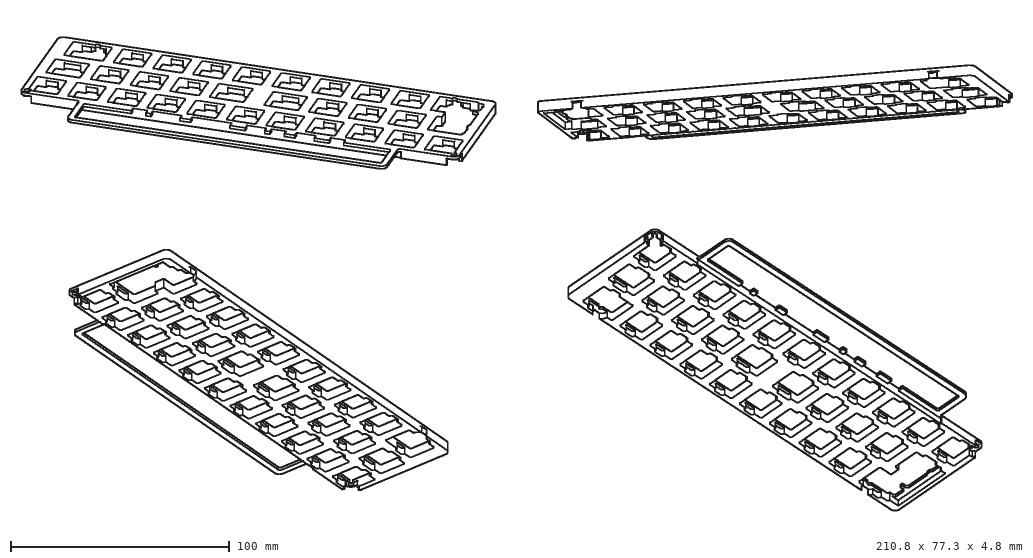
import cadquery as cq

total_height = 4.8
plate_thickness = 1.5
body_height = total_height - plate_thickness

pitch = 19.05
key_web = 5.0
key_hole = pitch - key_web
key_hole_radius = 0.74
upper_y = 1.5 * pitch
home_y = 0.5 * pitch
lower_y = -0.5 * pitch
space_y = -1.5 * pitch

wide_upper_key = (4.5, 4.75)
upper_keys = [(i - 3.5, i - 3.5) for i in range(8)]
right_home_keys = [(0.625, 0.75), (1.75, 1.75), (2.75, 2.75), (3.75, 3.75), (4.75, 4.875)]
left_home_keys = [(-last, -first) for first, last in right_home_keys[:-1]] + [(-4.875, -4.75)]
lower_keys = [(i - 5, i - 5) for i in range(11)]
space_keys = (-3.5, 3.5)

side_margin = 0.5
end_margin = 0.57
plate_half_width = 5.5 * pitch + side_margin
plate_half_depth = 2 * pitch + end_margin
body_front_y = -pitch - end_margin
frame_half_width = 4 * pitch + side_margin
outline_radius = 2.7
junction_radius = 1.3

notch_rear_y = -pitch
stabilizer_notches = [
    (-51.0, -44.0),
    (-41.5, -27.5),
    (-22.5, -3.5),
    (3.8, 13.0),
    (15.5, 22.5),
    (27.5, 36.9),
    (44.0, 51.0),
]

enter_x = 4.875 * pitch
enter_y = pitch
enter_left = enter_x - key_hole / 2
enter_right = 100.5
enter_pocket_right = 103.0
enter_corner_radius = 1.5
stabilizer_reach = 11.9
stabilizer_slot = 7.0

clip_width = 5.5
clip_depth = 1.5
clip_corner_radius = 1.0

screw_radius = 1.3
clearance_radius = 4.0
corner_screw = (102.6, -16.9)
rear_screw = (85.8, 35.2)
screws = [(side * x, y) for side in (-1, 1) for x, y in (corner_screw, rear_screw)]

post_radius = 0.74
overall_half_width = 105.4
side_post = (overall_half_width - post_radius, -13.3)
front_post = (99.2, body_front_y + post_radius)
posts = [(side * x, y) for side in (-1, 1) for x, y in (side_post, front_post)]


def block(x0, x1, y0, y1, z0, z1, corner_radius=0):
    """Box between two opposite corners, with its upright edges rounded if a radius is given."""
    box = cq.Workplane("XY").box(x1 - x0, y1 - y0, z1 - z0, centered=False).translate((x0, y0, z0))
    if corner_radius:
        box = box.edges("|Z").fillet(corner_radius)
    return box


def cylinders(centres, radius, height):
    """Upright cylinders standing on Z = 0."""
    return cq.Workplane("XY").pushPoints(centres).circle(radius).extrude(height)


def key_opening(keys, y):
    """Through opening that serves every key centre from the first to the last."""
    first, last = keys
    x0 = first * pitch - key_hole / 2
    x1 = last * pitch + key_hole / 2
    return block(x0, x1, y - key_hole / 2, y + key_hole / 2, 0, total_height, key_hole_radius)


def clip_recess(keys, y):
    """Recess for the switch clips in the front and rear walls, below the plate."""
    first, last = keys
    x0 = first * pitch - clip_width / 2
    x1 = last * pitch + clip_width / 2
    reach = key_hole / 2 + clip_depth
    return block(x0, x1, y - reach, y + reach, 0, body_height, clip_corner_radius)


def plate():
    """Thin plate with the frame around the space row, rounded at its corners and junctions."""
    main = block(
        -plate_half_width, plate_half_width, body_front_y, plate_half_depth,
        body_height, total_height, outline_radius,
    )
    frame = block(-frame_half_width, frame_half_width, -plate_half_depth, 0, body_height, total_height)
    frame = frame.edges("|Z and <Y").fillet(outline_radius)
    junctions = cq.selectors.BoxSelector(
        (-frame_half_width - side_margin, body_front_y - side_margin, body_height),
        (frame_half_width + side_margin, body_front_y + side_margin, total_height),
    )
    return main.union(frame).edges("|Z").edges(junctions).fillet(junction_radius)


def body():
    """Deep body below the key rows, set back behind the frame and cut clear of the screws."""
    main = block(
        -plate_half_width, plate_half_width, body_front_y, plate_half_depth,
        0, body_height, outline_radius,
    )
    step_half_width = frame_half_width + junction_radius
    main = main.cut(block(-step_half_width, step_half_width, body_front_y, notch_rear_y, 0, body_height))
    main = main.cut(cylinders(screws, clearance_radius, body_height))
    return main.union(cylinders(posts, post_radius, body_height))


def key_row_cutters():
    """Openings and clip recesses of the three key rows."""
    rows = [(upper_y, upper_keys), (home_y, left_home_keys + right_home_keys), (lower_y, lower_keys)]
    cutters = []
    for y, row in rows:
        for keys in row:
            cutters += [key_opening(keys, y), clip_recess(keys, y)]
    inner, outer = wide_upper_key
    for keys, clip_x in (((-outer, -inner), -outer), ((inner, outer), outer)):
        cutters += [key_opening(keys, upper_y), clip_recess((clip_x, clip_x), upper_y)]
    return cutters


def enter_cutters():
    """Tall enter key hole, its two stabilizer slots and the wider pocket below the plate."""
    half_hole = key_hole / 2
    half_slot = stabilizer_slot / 2
    half_pocket = stabilizer_reach + half_slot
    spans = [(enter_y - half_hole, enter_y + half_hole)]
    for slot_y in (enter_y - stabilizer_reach, enter_y + stabilizer_reach):
        spans.append((slot_y - half_slot, slot_y + half_slot))
    cutters = [
        block(enter_left, enter_right, y0, y1, 0, total_height, enter_corner_radius) for y0, y1 in spans
    ]
    pocket = block(
        enter_x, enter_pocket_right, enter_y - half_pocket, enter_y + half_pocket, 0, body_height
    )
    return cutters + [pocket]


def space_row_cutters():
    """Opening inside the frame and the stabilizer notches along its rear edge."""
    notches = [
        block(x0, x1, space_y, notch_rear_y, body_height, total_height) for x0, x1 in stabilizer_notches
    ]
    return [key_opening(space_keys, space_y)] + notches


cutters = key_row_cutters() + enter_cutters() + space_row_cutters()
cutters.append(cylinders(screws, screw_radius, total_height))
cutter_solids = [solid for cutter in cutters for solid in cutter.solids().vals()]

blank = plate().union(body())
result = cq.Workplane(blank.val().cut(*cutter_solids).clean().Solids()[0])